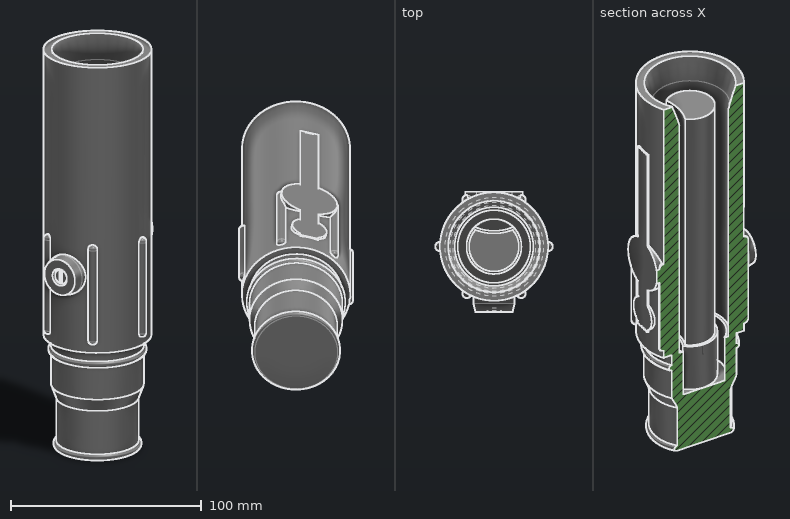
import cadquery as cq
import math

total_height = 222.2
sleeve_radius = 28.5
shoulder_height = 62.7
upper_spigot_radius = 24.5
taper_top_height = 35.1
taper_bottom_height = 27.8
lower_spigot_radius = 21.8

bead_half_height = 1.8
bead_reach = 1.45
bead_height = 54.7

mouth_radius = 24.0
mouth_taper_depth = 13.3
bore_radius = 20.7
inner_bore_radius = 19.1
floor_height = taper_top_height

post_top_height = 207.8
post_radius = 13.1
post_step = 1.3
post_base_radius = post_radius + post_step
notch_radius = 27.5
notch_center_y = 34.5
notch_floor_height = (floor_height + shoulder_height) / 2

rib_count = 6
rib_radius = 2.5
rib_bottom = 67.3
rib_top = 123.1

button_height = 105.0
button_reach = 34.5
button_taper_start = 29.8
button_base_radius = 11.0
button_face_radius = 9.8
recess_radius = 4.7
recess_floor_radius = 3.8
recess_depth = 1.1
slot_width = 2.0
slot_depth = 1.1

pad_reach = 29.0
large_pad_radius = 15.1
large_pad_height = 116.2
small_pad_radius = 9.3
strip_bottom = 75.0
strip_top = 188.7
strip_width = 9.8
small_pad_height = strip_bottom + small_pad_radius

root_radius = 22.2


def cylinder(radius, bottom, top):
    return cq.Workplane("XY").workplane(offset=bottom).circle(radius).extrude(top - bottom)


def make_body():
    """Revolve the solid outer profile with its two beads."""
    end_bead_top = 2 * bead_half_height
    profile = (
        cq.Workplane("XZ")
        .lineTo(lower_spigot_radius, 0)
        .threePointArc(
            (lower_spigot_radius + bead_reach, bead_half_height),
            (lower_spigot_radius, end_bead_top),
        )
        .lineTo(lower_spigot_radius, taper_bottom_height)
        .lineTo(upper_spigot_radius, taper_top_height)
        .lineTo(upper_spigot_radius, bead_height - bead_half_height)
        .threePointArc(
            (upper_spigot_radius + bead_reach, bead_height),
            (upper_spigot_radius, bead_height + bead_half_height),
        )
        .lineTo(upper_spigot_radius, shoulder_height)
        .lineTo(sleeve_radius, shoulder_height)
        .lineTo(sleeve_radius, total_height)
        .lineTo(0, total_height)
        .close()
    )
    return profile.revolve(360, (0, 0, 0), (0, 1, 0))


def make_bore():
    """Stepped blind bore with a tapered mouth."""
    return (
        cq.Workplane("XZ")
        .moveTo(0, floor_height)
        .lineTo(inner_bore_radius, floor_height)
        .lineTo(inner_bore_radius, shoulder_height)
        .lineTo(bore_radius, shoulder_height)
        .lineTo(bore_radius, total_height - mouth_taper_depth)
        .lineTo(mouth_radius, total_height)
        .lineTo(0, total_height)
        .close()
        .revolve(360, (0, 0, 0), (0, 1, 0))
    )


def make_post():
    """Stepped post with a round notch along its +Y side."""
    def notch(radius, bottom):
        return cylinder(radius, bottom, post_top_height).translate((0, notch_center_y, 0))

    base = cylinder(post_base_radius, floor_height, shoulder_height)
    base = base.cut(notch(notch_radius - post_step, notch_floor_height))
    shaft = cylinder(post_radius, floor_height, post_top_height)
    shaft = shaft.cut(notch(notch_radius, shoulder_height))
    shaft = shaft.cut(notch(notch_radius - post_step, notch_floor_height))
    return base.union(shaft)


def make_rib(angle):
    """Upright rib with hemispherical ends, centred on the sleeve surface."""
    rib = cylinder(rib_radius, rib_bottom + rib_radius, rib_top - rib_radius)
    for end_height in (rib_bottom + rib_radius, rib_top - rib_radius):
        rib = rib.union(cq.Workplane("XY").sphere(rib_radius).translate((0, 0, end_height)))
    x = sleeve_radius * math.cos(angle)
    y = sleeve_radius * math.sin(angle)
    return rib.translate((x, y, 0))


def make_button():
    """Revolve the button about its own axis, then lay the axis along -Y."""
    recess_floor = button_reach - recess_depth
    button = (
        cq.Workplane("XZ")
        .moveTo(0, root_radius)
        .lineTo(button_base_radius, root_radius)
        .lineTo(button_base_radius, button_taper_start)
        .lineTo(button_face_radius, button_reach)
        .lineTo(recess_radius, button_reach)
        .lineTo(recess_floor_radius, recess_floor)
        .lineTo(0, recess_floor)
        .close()
        .revolve(360, (0, 0, 0), (0, 1, 0))
    )
    slot_length = 2 * recess_floor_radius
    slot = cq.Workplane("XY").box(slot_width, slot_length, 2 * slot_depth)
    button = button.cut(slot.translate((0, 0, recess_floor)))
    return button.rotate((0, 0, 0), (1, 0, 0), 90).translate((0, 0, button_height))


def make_pads():
    """Two round pads joined by an upright strip."""
    def pad(radius, height):
        face = cq.Workplane("XZ", origin=(0, pad_reach, height))
        return face.circle(radius).extrude(pad_reach - root_radius)

    strip_center = (strip_bottom + strip_top) / 2
    strip = (
        cq.Workplane("XZ", origin=(0, pad_reach, strip_center))
        .rect(strip_width, strip_top - strip_bottom)
        .extrude(pad_reach - root_radius)
    )
    pads = pad(large_pad_radius, large_pad_height).union(pad(small_pad_radius, small_pad_height))
    return pads.union(strip)


body = make_body().union(make_button()).union(make_pads())
for index in range(rib_count):
    body = body.union(make_rib(2 * math.pi * index / rib_count))

result = body.cut(make_bore()).union(make_post())